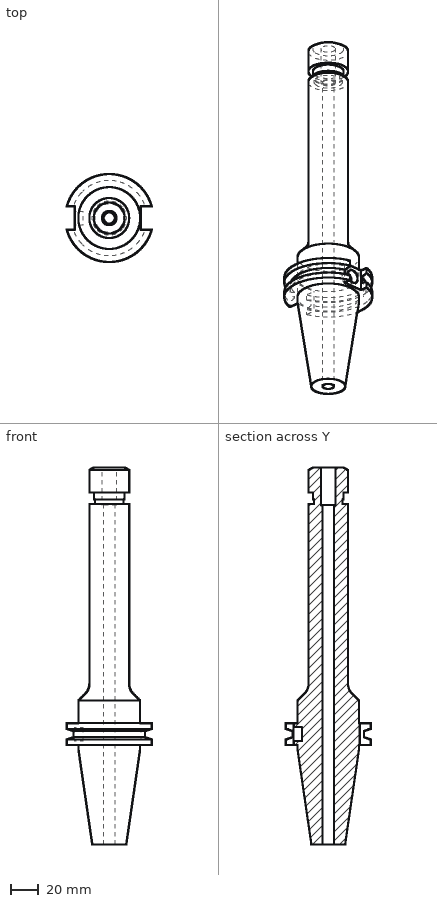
import cadquery as cq
import math

taper_top_z = 68.5
body_radius = 22.3
taper_slope = 7 / 48
taper_small_radius = body_radius - taper_slope * taper_top_z

flange_radius = 31.8
flange_bottom_z = 71.7
flange_thickness = 15.7
flange_top_z = flange_bottom_z + flange_thickness
flange_middle_z = flange_bottom_z + flange_thickness / 2
groove_floor_radius = 27.1
groove_mouth_width = 7.5
groove_floor_width = 4.3

slot_width = 16.8
left_slot_floor = 25.0
right_slot_floor = 22.8
side_hole_diameter = 9.8
side_hole_depth = 6.0

body_top_z = 103.7
extension_radius = 14.5
extension_top_z = 245.0
shoulder_fillet = 10.0
shoulder_angle = math.radians(45)

lower_neck_radius = 10.3
upper_neck_radius = 11.0
neck_step_z = 248.5
nut_radius = extension_radius
nut_bottom_z = 253.3
nut_chamfer_z = 269.5
nut_face_radius = 11.0
total_height = 271.5

bore_radius = 4.0
mouth_radius = 5.2
mouth_depth = 27.1


def fillet_point(angle):
    """Point (radius, z) on the concave shoulder fillet, measured from its top end."""
    radius = extension_radius + shoulder_fillet * (1 - math.cos(angle))
    z = fillet_top_z - shoulder_fillet * math.sin(angle)
    return radius, z


cone_top_radius = extension_radius + shoulder_fillet * (1 - math.cos(shoulder_angle))
cone_top_z = body_top_z + (body_radius - cone_top_radius) * math.tan(shoulder_angle)
fillet_top_z = cone_top_z + shoulder_fillet * math.sin(shoulder_angle)


def turned_body():
    """Solid of revolution carrying every turned outer surface."""
    return (
        cq.Workplane("XZ")
        .lineTo(taper_small_radius, 0)
        .lineTo(body_radius, taper_top_z)
        .lineTo(body_radius, flange_bottom_z)
        .lineTo(flange_radius, flange_bottom_z)
        .lineTo(flange_radius, flange_middle_z - groove_mouth_width / 2)
        .lineTo(groove_floor_radius, flange_middle_z - groove_floor_width / 2)
        .lineTo(groove_floor_radius, flange_middle_z + groove_floor_width / 2)
        .lineTo(flange_radius, flange_middle_z + groove_mouth_width / 2)
        .lineTo(flange_radius, flange_top_z)
        .lineTo(body_radius, flange_top_z)
        .lineTo(body_radius, body_top_z)
        .lineTo(cone_top_radius, cone_top_z)
        .threePointArc(fillet_point(shoulder_angle / 2), (extension_radius, fillet_top_z))
        .lineTo(extension_radius, extension_top_z)
        .lineTo(lower_neck_radius, extension_top_z)
        .lineTo(lower_neck_radius, neck_step_z)
        .lineTo(upper_neck_radius, neck_step_z)
        .lineTo(upper_neck_radius, nut_bottom_z)
        .lineTo(nut_radius, nut_bottom_z)
        .lineTo(nut_radius, nut_chamfer_z)
        .lineTo(nut_face_radius, total_height)
        .lineTo(0, total_height)
        .close()
        .revolve(360, (0, 0, 0), (0, 1, 0))
    )


def drive_slot(side, floor):
    """Cutter for one slot through the flange; side is -1 for -X and +1 for +X."""
    return (
        cq.Workplane("XY", origin=(side * (floor + flange_radius / 2), 0, flange_middle_z))
        .box(flange_radius, slot_width, flange_thickness)
    )


def side_hole():
    """Cutter for the blind radial hole in the floor of the -X slot."""
    return (
        cq.Workplane("YZ", origin=(-left_slot_floor, 0, flange_middle_z))
        .circle(side_hole_diameter / 2)
        .extrude(side_hole_depth)
    )


def axial_bore():
    """Cutter for the through bore and its wider mouth in the nut."""
    bore = cq.Workplane("XY").circle(bore_radius).extrude(total_height)
    mouth = (
        cq.Workplane("XY", origin=(0, 0, total_height - mouth_depth))
        .circle(mouth_radius)
        .extrude(mouth_depth)
    )
    return bore.union(mouth)


result = (
    turned_body()
    .cut(drive_slot(-1, left_slot_floor))
    .cut(drive_slot(1, right_slot_floor))
    .cut(side_hole())
    .cut(axial_bore())
)